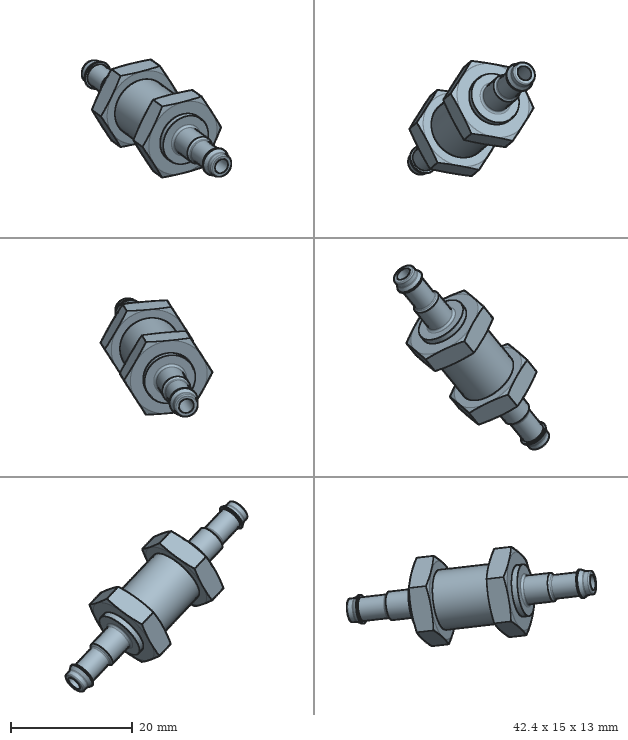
import cadquery as cq
import math

length = 42.4
half_length = length / 2
bore_dia = 2.5
body_dia = 10.0

tip_dia = 4.0
stem_dia = 4.8
tip_round = 0.2
barb_start = 1.05
barb_crest = 1.82
barb_end = 2.08
step_start = 6.65
step_end = step_start + (stem_dia - tip_dia) / 2
barb_blend = 0.25
step_blend = 0.35

collar_dia = 8.6
collar_start = 11.65
collar_blend = 0.4

across_flats = 13.0
across_corners = across_flats / math.cos(math.radians(30))
nut_start = 12.68
nut_width = 3.48
nut_bevel = 0.25


def from_end(distance):
    """X of a place measured inward from the +X end."""
    return half_length - distance


def round_ring(solid, distance, diameter, radius):
    """Fillet the circular edge at the given place and diameter."""
    reach = diameter / 2 + 0.05
    window = 0.02
    x = from_end(distance)
    ring = cq.selectors.BoxSelector(
        (x - window, -reach, -reach), (x + window, reach, reach), boundingbox=True
    )
    return solid.edges(ring).fillet(radius)


def make_barbed_end():
    """Collar, stem and hose barb outward of the +X nut."""
    profile = [
        (from_end(nut_start), 0),
        (from_end(nut_start), collar_dia / 2),
        (from_end(collar_start), collar_dia / 2),
        (from_end(collar_start), stem_dia / 2),
        (from_end(step_end), stem_dia / 2),
        (from_end(step_start), tip_dia / 2),
        (from_end(barb_end), tip_dia / 2),
        (from_end(barb_end), stem_dia / 2),
        (from_end(barb_crest), stem_dia / 2),
        (from_end(barb_start), tip_dia / 2),
        (half_length, tip_dia / 2),
        (half_length, 0),
    ]
    barbed_end = cq.Workplane("XY").polyline(profile).close().revolve(360, (0, 0, 0), (1, 0, 0))
    barbed_end = round_ring(barbed_end, 0, tip_dia, tip_round)
    barbed_end = round_ring(barbed_end, barb_start, tip_dia, barb_blend)
    barbed_end = round_ring(barbed_end, step_start, tip_dia, step_blend)
    return round_ring(barbed_end, collar_start, stem_dia, collar_blend)


def make_nut():
    """Hexagon with corners on +Y and -Y, beveled on both faces."""
    outer_x = from_end(nut_start)
    inner_x = outer_x - nut_width
    hexagon = (
        cq.Workplane("YZ", origin=(inner_x, 0, 0))
        .polygon(6, across_corners)
        .extrude(nut_width)
    )
    bevel_profile = [
        (inner_x, 0),
        (inner_x, across_flats / 2),
        (inner_x + nut_bevel, across_corners / 2),
        (outer_x - nut_bevel, across_corners / 2),
        (outer_x, across_flats / 2),
        (outer_x, 0),
    ]
    envelope = cq.Workplane("XY").polyline(bevel_profile).close().revolve(360, (0, 0, 0), (1, 0, 0))
    return hexagon.intersect(envelope)


end = make_barbed_end().union(make_nut())
body = cq.Workplane("YZ").circle(body_dia / 2).extrude(from_end(nut_start), both=True)
bore = cq.Workplane("YZ").circle(bore_dia / 2).extrude(half_length, both=True)
result = body.union(end).union(end.mirror("YZ")).cut(bore)